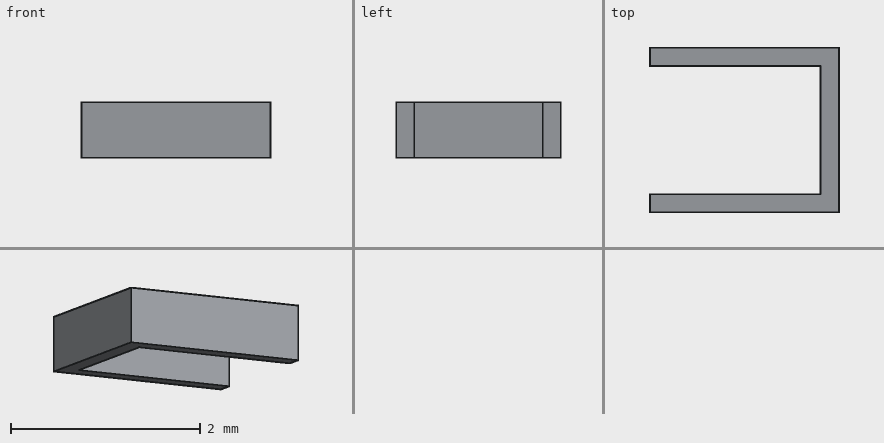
import cadquery as cq

length = 2.0
width = 1.74
height = 0.59

arm_thickness = 0.195
web_thickness = 0.2

opening_length = length - web_thickness
opening_width = width - 2 * arm_thickness

block = cq.Workplane("XY").box(length, width, height)
opening = (
    cq.Workplane("XY")
    .box(opening_length, opening_width, height)
    .translate((-web_thickness / 2, 0, 0))
)

result = block.cut(opening)